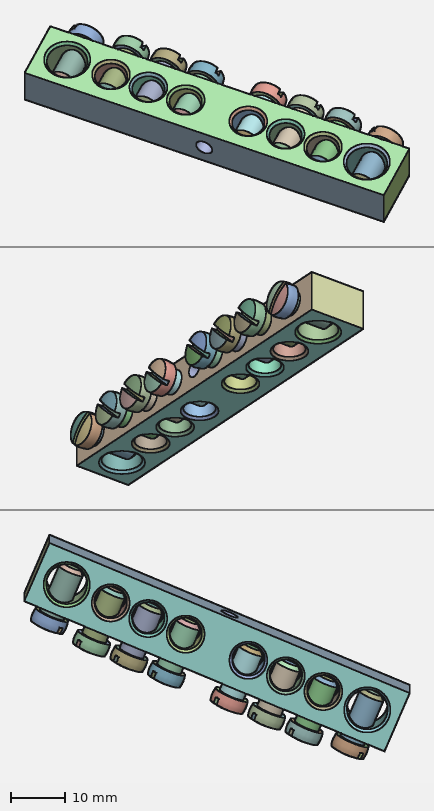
import cadquery as cq

bar_length = 72.0
bar_width = 11.9
bar_height = 8.0
mounting_hole_diameter = 3.25
wire_hole_chamfer = 0.5

shank_diameter = 4.8
tip_diameter = 3.25
tip_length = 0.8
shank_length = 9.7
head_diameter = 6.8
head_seat_diameter = 6.5
head_rim_height = 2.45
head_height = 2.9
slot_overrun = 0.7
slot_width = 0.9
slot_depth = 1.65

small_wire_hole_diameter = 6.0
small_first_x = 6.3
small_pitch = 7.5
small_count_per_side = 3
small_head_gap = 1.9
small_slot_angle = 45.0

large_wire_hole_diameter = 7.5
large_x = 30.0
large_head_gap = 1.0
large_slot_angle = -45.0

bar_back_y = bar_width / 2


def mirrored(distances):
    """Positions at each distance on both sides of the middle of the bar."""
    return [side * distance for distance in distances for side in (-1, 1)]


small_positions = mirrored([small_first_x + i * small_pitch for i in range(small_count_per_side)])
large_positions = mirrored([large_x])


def make_wire_hole(x, diameter):
    """Vertical through hole with a chamfer at both mouths."""
    radius = diameter / 2
    mouth_radius = radius + wire_hole_chamfer
    half_height = bar_height / 2
    profile = [
        (0, -half_height),
        (mouth_radius, -half_height),
        (radius, -half_height + wire_hole_chamfer),
        (radius, half_height - wire_hole_chamfer),
        (mouth_radius, half_height),
        (0, half_height),
    ]
    hole = cq.Workplane("XZ").polyline(profile).close().revolve(360, (0, 0), (0, 1))
    return hole.translate((x, 0, 0))


def make_screw_hole(x):
    """Hole from the back face of the bar to the axis of the wire hole."""
    return cq.Workplane("XZ").center(x, 0).circle(shank_diameter / 2).extrude(-bar_back_y)


def make_bar():
    """Bar with wire holes through Z, screw holes along Y and one mounting hole."""
    bar = cq.Workplane("XY").box(bar_length, bar_width, bar_height)
    bar = bar.faces("<Y").workplane(centerOption="CenterOfBoundBox").hole(mounting_hole_diameter)
    for x in small_positions:
        bar = bar.cut(make_wire_hole(x, small_wire_hole_diameter))
    for x in large_positions:
        bar = bar.cut(make_wire_hole(x, large_wire_hole_diameter))
    for x in small_positions + large_positions:
        bar = bar.cut(make_screw_hole(x))
    return bar


def make_screw(x, head_gap, slot_angle):
    """Screw along Y with a domed, slotted head whose underside stands head_gap off the bar."""
    shank_radius = shank_diameter / 2
    head_radius = head_diameter / 2
    seat_radius = head_seat_diameter / 2
    dome_rise = head_height - head_rim_height
    dome_radius = (seat_radius**2 + dome_rise**2) / (2 * dome_rise)
    body = (
        cq.Workplane("XY")
        .moveTo(0, -shank_length)
        .lineTo(tip_diameter / 2, -shank_length)
        .lineTo(shank_radius, -shank_length + tip_length)
        .lineTo(shank_radius, 0)
        .lineTo(seat_radius, 0)
        .threePointArc((head_radius, head_rim_height / 2), (seat_radius, head_rim_height))
        .radiusArc((0, head_height), -dome_radius)
        .close()
        .revolve(360, (0, 0), (0, 1))
    )
    slot = (
        cq.Workplane("XY")
        .box(head_diameter + 2 * slot_overrun, slot_depth + slot_overrun, slot_width)
        .translate((0, head_height - (slot_depth - slot_overrun) / 2, 0))
        .rotate((0, 0, 0), (0, 1, 0), -slot_angle)
    )
    return body.cut(slot).translate((x, bar_back_y + head_gap, 0))


bar = make_bar()
screws = [make_screw(x, small_head_gap, small_slot_angle) for x in small_positions]
screws += [make_screw(x, large_head_gap, large_slot_angle) for x in large_positions]

result = cq.Compound.makeCompound([bar.val(), *[screw.val() for screw in screws]])